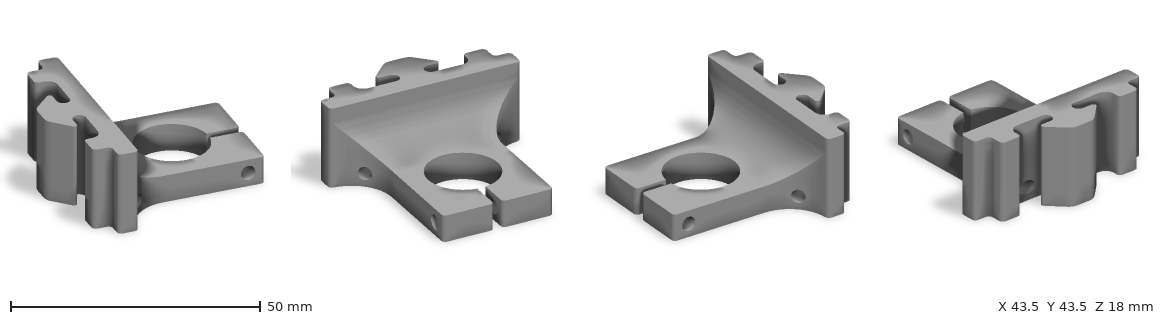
import cadquery as cq
import math

length = 43.45
height = 18.0
depth = 43.45
plate_front = 8.05
plate_back = 12.45
corner_radius = 0.85

foot_front = 4.1
foot_outer = 17.9
foot_inner = 12.9
foot_outer_fillet = 1.0
foot_inner_fillet = 2.17

lug_top = 5.2
lug_nose_half_width = 2.75
lug_nose_radius = 2.83
lug_tip_radius = 0.6
neck_half_width = 2.85

arm_width = 25.05
arm_thickness = 6.0
web_radius = 9.05
bore_diameter = 15.8
bore_y = 28.45
slit_width = 1.9

clamp_hole_diameter = 3.17
clamp_hole_y = 39.85
angled_hole_diameter = 3.0
hole_z = arm_thickness / 2

web_center_x = arm_width / 2 + web_radius
web_center_y = plate_back + web_radius


def block(x_min, x_max, y_min, y_max, block_height):
    """Box standing on Z = 0 between the given X and Y limits."""
    return (
        cq.Workplane("XY")
        .box(x_max - x_min, y_max - y_min, block_height, centered=False)
        .translate((x_min, y_min, 0))
    )


def round_edges(body, radius, points):
    """Round the upright edges nearest to the given XY points."""
    edges = cq.Workplane("XY")
    for x, y in points:
        edge = body.edges("|Z").edges(cq.NearestToPointSelector((x, y, height / 2)))
        edges = edges.add(edge.vals())
    return body.newObject([body.val().fillet(radius, edges.vals())])


def mirrored_points(*points):
    return [(side * x, y) for x, y in points for side in (-1, 1)]


def rail_plate():
    half = length / 2
    body = block(-half, half, plate_front, plate_back, height)
    body = body.union(block(foot_inner, foot_outer, foot_front, plate_front, height))
    body = body.union(block(-foot_outer, -foot_inner, foot_front, plate_front, height))
    convex = mirrored_points(
        (half, plate_front), (half, plate_back), (foot_inner, foot_front)
    )
    body = round_edges(body, corner_radius, convex)
    outer_corners = mirrored_points((foot_outer, plate_front), (foot_outer, foot_front))
    body = round_edges(body, foot_outer_fillet, outer_corners)
    return round_edges(body, foot_inner_fillet, mirrored_points((foot_inner, plate_front)))


def clamp_arm():
    half = arm_width / 2
    arm = block(-half, half, plate_back, depth, arm_thickness)

    web_half = length / 2 - corner_radius
    web = block(-web_half, web_half, plate_back - corner_radius, web_center_y, arm_thickness + web_radius)
    for side in (-1, 1):
        side_curve = (
            cq.Workplane("XY")
            .center(side * web_center_x, web_center_y)
            .circle(web_radius)
            .extrude(height)
        )
        web = web.cut(side_curve)
    top_curve = (
        cq.Workplane("YZ")
        .center(web_center_y, arm_thickness + web_radius)
        .circle(web_radius)
        .extrude(length / 2, both=True)
    )
    web = web.cut(top_curve)
    return arm.union(web)


def split_clamp(body):
    bore = cq.Workplane("XY").center(0, bore_y).circle(bore_diameter / 2).extrude(height)
    slit = block(-slit_width / 2, slit_width / 2, bore_y, depth, height)
    body = body.cut(bore).cut(slit)
    corners = mirrored_points((arm_width / 2, depth), (slit_width / 2, depth))
    body = round_edges(body, corner_radius, corners)
    clamp_hole = (
        cq.Workplane("YZ")
        .center(clamp_hole_y, hole_z)
        .circle(clamp_hole_diameter / 2)
        .extrude(arm_width, both=True)
    )
    return body.cut(clamp_hole)


def drill_angled_holes(body):
    """Drill at 45 degrees from each side curve's axis out through the plate front."""
    drill_length = math.sqrt(2) * web_center_y
    for side in (-1, 1):
        drill = cq.Solid.makeCylinder(
            angled_hole_diameter / 2,
            drill_length,
            cq.Vector(side * web_center_x, web_center_y, hole_z),
            cq.Vector(-side, -1, 0),
        )
        body = body.cut(cq.Workplane(obj=drill))
    return body


def dovetail_lug():
    lug_half = lug_nose_half_width + lug_top
    lug = (
        cq.Workplane("XY")
        .polyline([
            (-lug_nose_half_width, 0),
            (lug_nose_half_width, 0),
            (lug_half, lug_top),
            (-lug_half, lug_top),
        ])
        .close()
        .extrude(height)
    )
    lug = round_edges(lug, lug_nose_radius, mirrored_points((lug_nose_half_width, 0)))
    lug = round_edges(lug, lug_tip_radius, mirrored_points((lug_half, lug_top)))

    groove_radius = (plate_front - lug_top) / 2
    groove_x = neck_half_width + groove_radius
    neck = block(-groove_x, groove_x, lug_top, plate_front, height)
    for side in (-1, 1):
        groove_end = (
            cq.Workplane("XY")
            .center(side * groove_x, lug_top + groove_radius)
            .circle(groove_radius)
            .extrude(height)
        )
        neck = neck.cut(groove_end)
    return lug.union(neck)


bracket = split_clamp(rail_plate().union(clamp_arm()))
bracket = drill_angled_holes(bracket)
result = bracket.union(dovetail_lug())